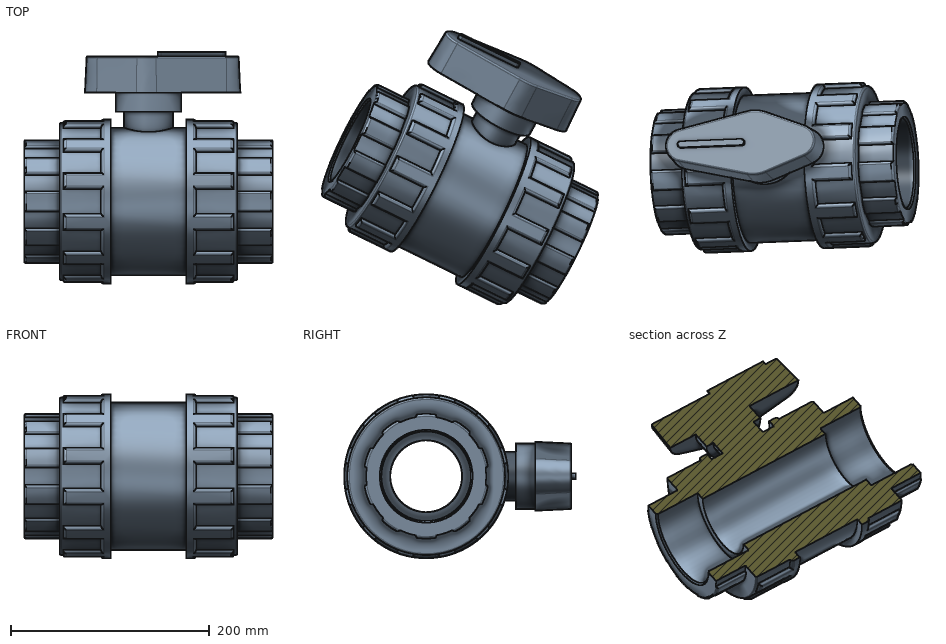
import cadquery as cq
import math

overall_length = 250.0
body_diameter = 148.5
bore_diameter = 72.0

nut_diameter = 158.5
nut_rib_diameter = 165.0
nut_inner_x = 37.8
nut_outer_x = 89.2
nut_edge_round = 1.8
nut_flange_x = 47.8
nut_rib_end_x = 85.8
nut_rib_width = 17.0
nut_rib_round = 3.0
nut_rib_count = 12

connector_diameter = 120.5
connector_rib_diameter = 125.5
connector_rib_width = 20.5
connector_rib_round = 2.2
connector_rib_count = 10
socket_diameter = 90.0
socket_depth = 50.0
socket_chamfer = 1.8

stem_diameter = 49.5
collar_diameter = 66.0
collar_start_y = 90.2
handle_start_y = 109.5
handle_end_y = 146.0

hub_radius = 34.8
tip_radius = 18.2
left_tip_x = -45.8
right_tip_x = 74.2
handle_taper = 2.7
handle_edge_round = 1.8

pointer_start_x = 9.2
pointer_end_x = 77.5
pointer_width = 6.2
pointer_end_y = 150.5

end_x = overall_length / 2


def x_cylinder(diameter, start_x, stop_x):
    """Solid cylinder on the bore axis."""
    return cq.Workplane("YZ", origin=(start_x, 0, 0)).circle(diameter / 2).extrude(stop_x - start_x)


def y_cylinder(diameter, start_y, stop_y):
    """Solid cylinder on the stem axis."""
    plane = cq.Plane(origin=(0, start_y, 0), xDir=(1, 0, 0), normal=(0, 1, 0))
    return cq.Workplane(plane).circle(diameter / 2).extrude(stop_y - start_y)


def rib_ring(count, width, diameter, start_x, stop_x):
    """Evenly spaced ribs along X, their tops on one cylinder, with a gap centred on -Y."""
    pitch = 360 / count
    length = stop_x - start_x
    ribs = cq.Workplane("XY")
    for index in range(count):
        rib = cq.Workplane("XY").box(length, width, diameter, centered=(True, True, False))
        rib = rib.translate(((start_x + stop_x) / 2, 0, 0))
        ribs = ribs.union(rib.rotate((0, 0, 0), (1, 0, 0), 90 + (index + 0.5) * pitch))
    return ribs.intersect(x_cylinder(diameter, start_x, stop_x))


def crown_edges(solid, diameter, keep_sharp_x):
    """Edges around the rib tops, apart from those that lie in the plane X = keep_sharp_x."""
    tolerance = 0.02
    edges = []
    for edge in solid.edges().vals():
        point = edge.positionAt(0.5)
        on_crown = abs(math.hypot(point.y, point.z) - diameter / 2) < tolerance
        if on_crown and abs(point.x - keep_sharp_x) > tolerance:
            edges.append(edge)
    return solid.newObject(edges)


def union_nut():
    shell = x_cylinder(nut_diameter, nut_inner_x, nut_outer_x).faces(">X").edges().fillet(nut_edge_round)
    grip = x_cylinder(nut_rib_diameter, nut_inner_x, nut_flange_x)
    grip = grip.union(
        rib_ring(nut_rib_count, nut_rib_width, nut_rib_diameter, nut_inner_x, nut_rib_end_x)
    )
    grip = grip.union(x_cylinder(nut_diameter, nut_inner_x, nut_rib_end_x))
    grip = crown_edges(grip, nut_rib_diameter, nut_inner_x).fillet(nut_rib_round)
    return shell.union(grip)


def connector():
    ribs = rib_ring(connector_rib_count, connector_rib_width, connector_rib_diameter, nut_inner_x, end_x)
    ribs = ribs.union(x_cylinder(connector_diameter, nut_inner_x, end_x))
    return crown_edges(ribs, connector_rib_diameter, nut_inner_x).fillet(connector_rib_round)


def socket():
    mouth = x_cylinder(socket_diameter, end_x - socket_depth, end_x)
    lead_in = cq.Workplane(
        cq.Solid.makeCone(
            socket_diameter / 2,
            socket_diameter / 2 + socket_chamfer,
            socket_chamfer,
            cq.Vector(end_x - socket_chamfer, 0, 0),
            cq.Vector(1, 0, 0),
        )
    )
    return mouth.union(lead_in)


def handle():
    def tangent_points(tip_x):
        """Where the flat side touches the hub and the tip."""
        sine = (hub_radius - tip_radius) / abs(tip_x)
        side = math.copysign(1, tip_x)
        cosine = math.sqrt(1 - sine**2)
        on_hub = (side * hub_radius * sine, hub_radius * cosine)
        on_tip = (tip_x + side * tip_radius * sine, tip_radius * cosine)
        return on_hub, on_tip

    def mirrored(point):
        return (point[0], -point[1])

    left_hub, left_tip = tangent_points(left_tip_x)
    right_hub, right_tip = tangent_points(right_tip_x)
    plane = cq.Plane(origin=(0, handle_start_y, 0), xDir=(1, 0, 0), normal=(0, 1, 0))
    grip = (
        cq.Workplane(plane)
        .moveTo(*left_tip)
        .lineTo(*left_hub)
        .threePointArc((0, hub_radius), right_hub)
        .lineTo(*right_tip)
        .threePointArc((right_tip_x + tip_radius, 0), mirrored(right_tip))
        .lineTo(*mirrored(right_hub))
        .threePointArc((0, -hub_radius), mirrored(left_hub))
        .lineTo(*mirrored(left_tip))
        .threePointArc((left_tip_x - tip_radius, 0), left_tip)
        .close()
        .extrude(handle_end_y - handle_start_y, taper=handle_taper)
    )
    return grip.faces(">Y").edges().fillet(handle_edge_round)


def pointer():
    plane = cq.Plane(
        origin=((pointer_start_x + pointer_end_x) / 2, handle_end_y, 0), xDir=(1, 0, 0), normal=(0, 1, 0)
    )
    outline = cq.Workplane(plane).slot2D(pointer_end_x - pointer_start_x, pointer_width)
    return outline.extrude(pointer_end_y - handle_end_y)


end_fitting = union_nut().union(connector()).cut(socket())

result = (
    x_cylinder(body_diameter, -nut_inner_x, nut_inner_x)
    .union(end_fitting)
    .union(end_fitting.mirror("YZ"))
    .union(y_cylinder(stem_diameter, 0, collar_start_y))
    .union(y_cylinder(collar_diameter, collar_start_y, handle_start_y))
    .union(handle())
    .union(pointer())
    .cut(x_cylinder(bore_diameter, -end_x, end_x))
)